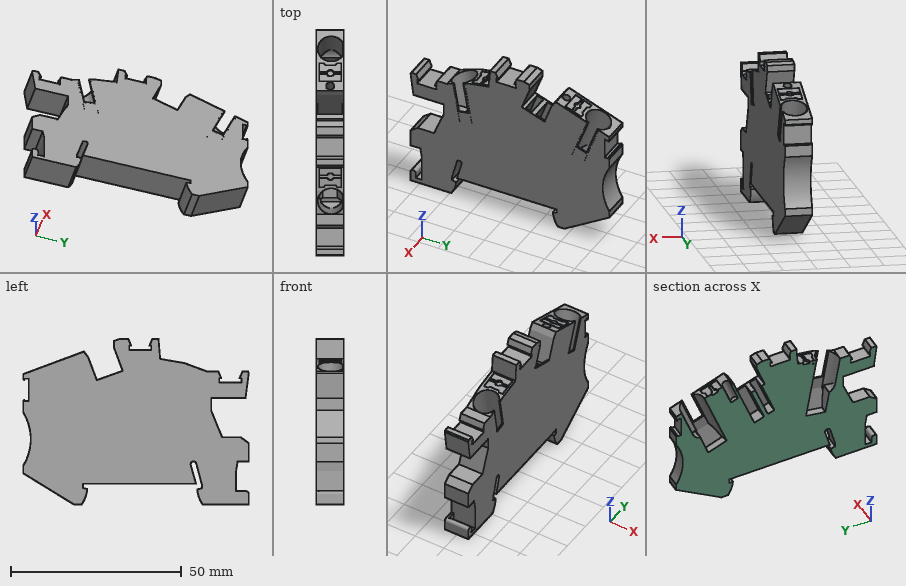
import math

import cadquery as cq

WIDTH = 8.15
DEPTH = 66.01
HEIGHT = 48.5

RAIL_SEAT_Z = 6.05
UPPER_DECK_LOW = (DEPTH, 38.2)
UPPER_DECK_HIGH = (48.25, 44.8)
NOTCH_TOP = (46.95, 43.1)
NOTCH_REAR = (44.45, 36.45)
NOTCH_FRONT = (36.95, 39.15)
TOWER_FRONT_TOP = 26.4
LOWER_DECK_REAR = (25.9, 42.65)
LOWER_DECK_BREAK = (18.9, 41.45)
LOWER_DECK_FRONT = (12.15, 38.95)
LEDGE_Z = LOWER_DECK_FRONT[1]

FOOT_BACK_Y = 3.7
FOOT_FLOOR_Z = 4.0
FOOT_LIP_RADIUS = 0.9
FOOT_POCKET_X = 0.8
FOOT_POCKET_FLOOR_Z = 1.5

CLIP_WIDTH = 6.4
CLIP_DEPTH = 3.2
CLIP_UNDERCUT = 1.2
CLIP_LIP = 0.55
CLIP_MOUTH_OFFSET = 0.3
TOWER_CLIP_Y = 31.75
LEDGE_CLIP_Y = 5.4
REAR_CLIP_Z = 33.55
REAR_CLIP_DEPTH = 1.6
REAR_CLIP_LIP = 0.4

FINGER_LOW_Z = 11.35
FINGER_HIGH_Z = 27.0
FINGER_DEPTH = 2.2

ENTRY_X = 4.43
ENTRY_RADIUS = 3.93
ENTRY_FLAT_X = 7.77
ENTRY_WALL_DEPTH = 10.5
TROUGH_RADIUS = 4.0
RELIEF_LENGTH = 3.3
ENTRY_OVERSHOOT = 5.0
POCKET_X = (1.95, 6.2)
POCKET_OUTER_EDGE = 2.4
POCKET_DEPTH = 6.5
UPPER_ENTRY_Y = 60.45
LOWER_ENTRY_Y = 15.8

LEVER_X = 4.2
LEVER_WIDTH = 6.4
LEVER_LENGTH = 5.6
LEVER_RECESS = 0.08
LEVER_NOTCH_WIDTH = 3.9
LEVER_NOTCH_FLOOR = 2.9
LEVER_NOTCH_DEPTH = 0.6
GROOVE_OFFSET = 0.25
GROOVE_WIDTH = 0.8
GROOVE_HOLE_RADIUS = 1.0
GROOVE_DEPTH = 0.8
UPPER_LEVER_Y = 53.65
LOWER_LEVER_Y = 22.8

TEST_HOLE_X = 4.1
TEST_HOLE_Y = 49.6
TEST_HOLE_RADIUS = 1.17
TEST_HOLE_DEPTH = 8.0

NOTCH_SLOT_X = (0.5, 7.65)
NOTCH_SLOT_DEPTH = 12.0
REAR_SLOT_FRONT_Y = 41.4
FRONT_SLOT_Y = (40.0, 38.0)


def body():
    """Side outline extruded across the full width."""
    outline = (
        cq.Workplane("YZ")
        .moveTo(0, 0)
        .lineTo(13.5, 0)
        .threePointArc((14.55, 1.9), (15.15, 4.45))
        .lineTo(13.75, 4.85)
        .lineTo(13.75, 5.75)
        .lineTo(15.4, 12.0)
        .threePointArc((16.4, 12.6), (17.0, 11.7))
        .lineTo(15.4, RAIL_SEAT_Z)
        .lineTo(48.5, RAIL_SEAT_Z)
        .lineTo(48.5, 4.9)
        .lineTo(47.2, 4.6)
        .threePointArc((47.75, 2.2), (48.9, 0))
        .lineTo(51.1, 0)
        .lineTo(DEPTH, 9.15)
        .lineTo(*UPPER_DECK_LOW)
        .lineTo(*UPPER_DECK_HIGH)
        .lineTo(*NOTCH_TOP)
        .lineTo(*NOTCH_REAR)
        .lineTo(*NOTCH_FRONT)
        .lineTo(39.5, 46.0)
        .lineTo(39.5, 47.9)
        .lineTo(37.7, HEIGHT)
        .lineTo(TOWER_FRONT_TOP, HEIGHT)
        .lineTo(*LOWER_DECK_REAR)
        .lineTo(*LOWER_DECK_BREAK)
        .lineTo(*LOWER_DECK_FRONT)
        .lineTo(0.25, LEDGE_Z)
        .lineTo(0, 38.4)
        .lineTo(0.95, 31.15)
        .lineTo(11.0, 31.15)
        .lineTo(11.0, 27.55)
        .lineTo(7.8, 19.75)
        .lineTo(2.4, 19.75)
        .lineTo(0, 18.0)
        .lineTo(0, 12.6)
        .lineTo(3.25, 12.6)
        .lineTo(FOOT_BACK_Y, 9.85)
        .lineTo(FOOT_BACK_Y, FOOT_FLOOR_Z)
        .lineTo(FOOT_LIP_RADIUS, FOOT_FLOOR_Z)
        .radiusArc((0, FOOT_FLOOR_Z - FOOT_LIP_RADIUS), -FOOT_LIP_RADIUS)
        .close()
    )
    return outline.extrude(WIDTH)


def marker_clip(center_y, top_z):
    """Snap-in marker slot, open upwards, with a lip on each side."""
    half = CLIP_WIDTH / 2
    floor_z = top_z - CLIP_DEPTH
    lip_z = floor_z + CLIP_UNDERCUT
    right = [
        (half, floor_z),
        (half, lip_z),
        (half - CLIP_LIP, lip_z),
        (half + CLIP_MOUTH_OFFSET, top_z),
    ]
    left = [(-y, z) for y, z in reversed(right)]
    points = [(center_y + y, z) for y, z in right + left]
    return cq.Workplane("YZ").polyline(points).close().extrude(WIDTH)


def rear_clip():
    """Shallow marker slot in the rear face with a small pointed lip on each side."""
    half = CLIP_WIDTH / 2
    floor_y = DEPTH - REAR_CLIP_DEPTH
    lip_y = DEPTH - REAR_CLIP_LIP
    upper = [
        (floor_y, half),
        (lip_y, half),
        (lip_y, half - REAR_CLIP_LIP),
        (DEPTH, half),
    ]
    lower = [(y, -z) for y, z in reversed(upper)]
    points = [(y, REAR_CLIP_Z + z) for y, z in upper + lower]
    return cq.Workplane("YZ").polyline(points).close().extrude(WIDTH)


def finger_recess():
    """Arc-shaped hollow in the rear face."""
    mid_z = (FINGER_LOW_Z + FINGER_HIGH_Z) / 2
    return (
        cq.Workplane("YZ")
        .moveTo(DEPTH, FINGER_LOW_Z)
        .threePointArc((DEPTH - FINGER_DEPTH, mid_z), (DEPTH, FINGER_HIGH_Z))
        .close()
        .extrude(WIDTH)
    )


def foot_pocket():
    """Pocket behind the foot lip, open to +X; its front edge rounds the lip."""
    lip_back_y = 2 * FOOT_LIP_RADIUS
    return (
        cq.Workplane("YZ", origin=(FOOT_POCKET_X, 0, 0))
        .moveTo(FOOT_LIP_RADIUS, FOOT_FLOOR_Z)
        .radiusArc((lip_back_y, FOOT_FLOOR_Z - FOOT_LIP_RADIUS), FOOT_LIP_RADIUS)
        .lineTo(lip_back_y, FOOT_POCKET_FLOOR_Z)
        .lineTo(FOOT_BACK_Y, FOOT_POCKET_FLOOR_Z)
        .lineTo(FOOT_BACK_Y, FOOT_FLOOR_Z)
        .close()
        .extrude(WIDTH - FOOT_POCKET_X)
    )


def deck_plane(start, end, y):
    """Workplane on a sloped face at the given Y: local x is X, local y runs rearwards."""
    slope = (end[1] - start[1]) / (end[0] - start[0])
    angle = math.atan(slope)
    z = start[1] + slope * (y - start[0])
    normal = (0, -math.sin(angle), math.cos(angle))
    return cq.Workplane(cq.Plane(origin=(0, y, z), xDir=(1, 0, 0), normal=normal))


def entry_bore(plane, depth):
    """Straight bore, cut flat next to the +X side."""
    half_flat = math.sqrt(ENTRY_RADIUS**2 - (ENTRY_FLAT_X - ENTRY_X) ** 2)
    return (
        plane.workplane(offset=-depth)
        .moveTo(ENTRY_FLAT_X, -half_flat)
        .threePointArc((ENTRY_X - ENTRY_RADIUS, 0), (ENTRY_FLAT_X, half_flat))
        .close()
        .extrude(depth + ENTRY_OVERSHOOT)
    )


def entry_relief(plane, depth):
    """Narrow slit that opens the flat of the bore to the +X side."""
    width = WIDTH - ENTRY_FLAT_X
    return (
        plane.workplane(offset=-depth)
        .center(ENTRY_FLAT_X + width / 2, 0)
        .rect(width, RELIEF_LENGTH)
        .extrude(depth + ENTRY_OVERSHOOT)
    )


def entry_trough(plane, depth):
    """U-shaped slab across the block that rounds the bore end."""
    side_plane = cq.Plane(origin=plane.plane.origin, xDir=plane.plane.yDir, normal=(1, 0, 0))
    return (
        cq.Workplane(side_plane)
        .moveTo(-TROUGH_RADIUS, ENTRY_OVERSHOOT)
        .lineTo(-TROUGH_RADIUS, -ENTRY_WALL_DEPTH)
        .threePointArc((0, -depth), (TROUGH_RADIUS, -ENTRY_WALL_DEPTH))
        .lineTo(TROUGH_RADIUS, ENTRY_OVERSHOOT)
        .close()
        .extrude(WIDTH)
    )


def entry_pocket(plane, trough_depth, outer_side):
    """Pocket below the trough with slanted flanks, running inwards from its outer edge."""
    frame = plane.plane
    origin = frame.origin + frame.yDir * (outer_side * POCKET_OUTER_EDGE)
    cross_plane = cq.Plane(origin=origin, xDir=(1, 0, 0), normal=-frame.yDir)
    length = outer_side * (POCKET_OUTER_EDGE + ENTRY_RADIUS)
    floor = trough_depth + POCKET_DEPTH
    points = [
        (ENTRY_X - ENTRY_RADIUS, -ENTRY_WALL_DEPTH),
        (ENTRY_X - ENTRY_RADIUS, -trough_depth),
        (POCKET_X[0], -floor),
        (POCKET_X[1], -floor),
        (ENTRY_FLAT_X, -trough_depth),
        (ENTRY_FLAT_X, -ENTRY_WALL_DEPTH),
    ]
    return cq.Workplane(cross_plane).polyline(points).close().extrude(length)


def wire_entry(plane, outer_side):
    """Wire funnel: flattened bore with trough end and pocket, opened to +X by a slit."""
    trough_depth = ENTRY_WALL_DEPTH + TROUGH_RADIUS
    trough = entry_trough(plane, trough_depth)
    pocket = entry_pocket(plane, trough_depth, outer_side)
    bore = entry_bore(plane, trough_depth + POCKET_DEPTH)
    relief = entry_relief(plane, ENTRY_WALL_DEPTH)
    return bore.intersect(trough.union(pocket)).union(relief)


def lever_window(plane, notch_side):
    """Recessed lever face with a notched edge, a cross groove and a round hole."""
    half_w = LEVER_WIDTH / 2
    half_l = LEVER_LENGTH / 2
    notched_y = notch_side * half_l
    notch_floor_y = notch_side * (half_l - LEVER_NOTCH_DEPTH)
    points = [
        (-half_w, -notched_y),
        (-half_w, notched_y),
        (-LEVER_NOTCH_WIDTH / 2, notched_y),
        (-LEVER_NOTCH_FLOOR / 2, notch_floor_y),
        (LEVER_NOTCH_FLOOR / 2, notch_floor_y),
        (LEVER_NOTCH_WIDTH / 2, notched_y),
        (half_w, notched_y),
        (half_w, -notched_y),
    ]
    base = plane.center(LEVER_X, 0)
    face = base.polyline(points).close().extrude(-LEVER_RECESS)
    middle = base.center(0, -notch_side * GROOVE_OFFSET)
    groove = middle.rect(LEVER_WIDTH, GROOVE_WIDTH).extrude(-GROOVE_DEPTH)
    hole = middle.circle(GROOVE_HOLE_RADIUS).extrude(-GROOVE_DEPTH)
    return face.union(groove).union(hole)


def notch_slot(rear, front):
    """Slot sunk between two points of the notch floor, parallel to the rear notch wall."""
    wall_y = NOTCH_REAR[0] - NOTCH_TOP[0]
    wall_z = NOTCH_REAR[1] - NOTCH_TOP[1]
    scale = NOTCH_SLOT_DEPTH / math.hypot(wall_y, wall_z)
    sink_y = wall_y * scale
    sink_z = wall_z * scale
    points = [
        rear,
        front,
        (front[0] + sink_y, front[1] + sink_z),
        (rear[0] + sink_y, rear[1] + sink_z),
    ]
    plane = cq.Workplane("YZ", origin=(NOTCH_SLOT_X[0], 0, 0))
    return plane.polyline(points).close().extrude(NOTCH_SLOT_X[1] - NOTCH_SLOT_X[0])


def notch_floor(y):
    """Point of the notch floor at the given Y."""
    slope = (NOTCH_FRONT[1] - NOTCH_REAR[1]) / (NOTCH_FRONT[0] - NOTCH_REAR[0])
    return (y, NOTCH_REAR[1] + slope * (y - NOTCH_REAR[0]))


upper_deck = (UPPER_DECK_LOW, UPPER_DECK_HIGH)
lower_deck = (LOWER_DECK_REAR, LOWER_DECK_BREAK)
test_hole = (
    deck_plane(*upper_deck, TEST_HOLE_Y)
    .center(TEST_HOLE_X, 0)
    .circle(TEST_HOLE_RADIUS)
    .extrude(-TEST_HOLE_DEPTH)
)

result = (
    body()
    .cut(marker_clip(TOWER_CLIP_Y, HEIGHT))
    .cut(marker_clip(LEDGE_CLIP_Y, LEDGE_Z))
    .cut(rear_clip())
    .cut(finger_recess())
    .cut(foot_pocket())
    .cut(wire_entry(deck_plane(*upper_deck, UPPER_ENTRY_Y), 1))
    .cut(wire_entry(deck_plane(*lower_deck, LOWER_ENTRY_Y), -1))
    .cut(lever_window(deck_plane(*upper_deck, UPPER_LEVER_Y), 1))
    .cut(lever_window(deck_plane(*lower_deck, LOWER_LEVER_Y), -1))
    .cut(test_hole)
    .cut(notch_slot(NOTCH_REAR, notch_floor(REAR_SLOT_FRONT_Y)))
    .cut(notch_slot(notch_floor(FRONT_SLOT_Y[0]), notch_floor(FRONT_SLOT_Y[1])))
)